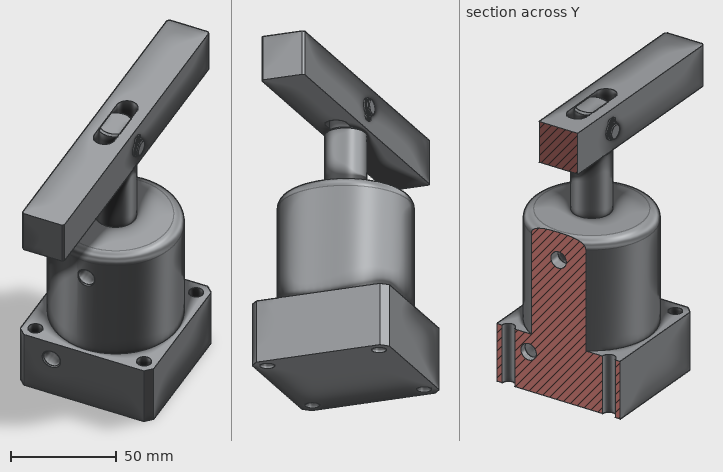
import cadquery as cq

base_width = 70.0
base_height = 31.0
base_corner_chamfer = 3.5
body_diameter = 65.0
body_top = 90.0
body_top_fillet = 5.0
bolt_spacing = 57.0
bolt_hole_diameter = 7.0

port_diameter = 8.5
port_mouth_diameter = 9.7
port_mouth_depth = 0.6
port_depth = 10.0
port_a_height = 75.0
port_b_x = -17.0
port_b_height = 21.0

arm_width = 22.0
arm_length = 160.0
arm_height = 22.0
arm_bottom = 124.0
arm_top = arm_bottom + arm_height
arm_edge_chamfer = 1.0
arm_slot_width = 10.5
arm_slot_length = 35.0

rod_diameter = 20.0
rod_chamfer = 1.0
shoulder_height = 122.5
tongue_diameter = rod_diameter - 2 * rod_chamfer
tongue_start = shoulder_height + rod_chamfer
tongue_width = arm_slot_width
tongue_recess = 0.5
tongue_top = arm_top - tongue_recess
tongue_chamfer = 1.0

pin_diameter = 8.0
pin_length = 27.2
pin_end_chamfer = 0.5
pin_axis_height = (arm_bottom + arm_top) / 2
pin_groove_diameter = 7.6
pin_groove_width = 1.4

clip_thickness = 0.8
clip_outer_diameter = 9.3
clip_lug_width = 5.4
clip_lug_height = 2.8
clip_lug_offset = 5.0
clip_lug_hole_diameter = 1.2
clip_gap = 0.6


def x_cylinder(diameter, length, x_start):
    """Cylinder on the pivot axis, running in +X from x_start."""
    return (
        cq.Workplane("YZ", origin=(x_start, 0, pin_axis_height))
        .circle(diameter / 2)
        .extrude(length)
    )


def port_cutter(x, height, face_y):
    """Drilled port that enters at face_y and runs in +Y, with a tapered mouth."""
    drill_radius = port_diameter / 2
    mouth_radius = port_mouth_diameter / 2
    return (
        cq.Workplane("XY", origin=(x, face_y, height))
        .lineTo(mouth_radius, 0)
        .lineTo(drill_radius, port_mouth_depth)
        .lineTo(drill_radius, port_depth)
        .lineTo(0, port_depth)
        .close()
        .revolve(360, (0, 0, 0), (0, 1, 0))
    )


def make_housing():
    base = (
        cq.Workplane("XY")
        .rect(base_width, base_width)
        .extrude(base_height)
        .edges("|Z")
        .chamfer(base_corner_chamfer)
    )
    body = (
        cq.Workplane("XY")
        .circle(body_diameter / 2)
        .extrude(body_top)
        .faces(">Z")
        .edges()
        .fillet(body_top_fillet)
    )
    bolt_holes = (
        cq.Workplane("XY")
        .rect(bolt_spacing, bolt_spacing, forConstruction=True)
        .vertices()
        .circle(bolt_hole_diameter / 2)
        .extrude(base_height)
    )
    port_a = port_cutter(0, port_a_height, -body_diameter / 2)
    port_b = port_cutter(port_b_x, port_b_height, -base_width / 2)
    return base.union(body).cut(bolt_holes).cut(port_a).cut(port_b)


def make_rod():
    shaft = (
        cq.Workplane("XY", origin=(0, 0, body_top))
        .circle(rod_diameter / 2)
        .extrude(tongue_start - body_top)
        .faces(">Z")
        .chamfer(rod_chamfer)
    )
    tongue_height = tongue_top - tongue_start
    tongue_flats = (
        cq.Workplane("XY", origin=(0, 0, tongue_start))
        .rect(tongue_width, tongue_diameter)
        .extrude(tongue_height)
    )
    tongue = (
        cq.Workplane("XY", origin=(0, 0, tongue_start))
        .circle(tongue_diameter / 2)
        .extrude(tongue_height)
        .faces(">Z")
        .chamfer(tongue_chamfer)
        .intersect(tongue_flats)
    )
    pin_hole = x_cylinder(pin_diameter, arm_width, -arm_width / 2)
    return shaft.union(tongue).cut(pin_hole)


def make_arm():
    bar = (
        cq.Workplane("XY", origin=(0, 0, arm_bottom))
        .rect(arm_width, arm_length)
        .extrude(arm_height)
        .edges("|Z")
        .chamfer(arm_edge_chamfer)
    )
    slot = (
        cq.Workplane("XY", origin=(0, 0, arm_bottom))
        .slot2D(arm_slot_length, arm_slot_width, 90)
        .extrude(arm_height)
    )
    pin_hole = x_cylinder(pin_diameter, arm_width, -arm_width / 2)
    return bar.cut(slot).cut(pin_hole)


def clip_start_x(side):
    """Smallest X of the clip on the given side (-1 or +1) of the arm."""
    return side * (arm_width + clip_thickness) / 2 - clip_thickness / 2


def make_pin():
    pin = x_cylinder(pin_diameter, pin_length, -pin_length / 2)
    pin = pin.faces("<X or >X").chamfer(pin_end_chamfer)
    for side in (-1, 1):
        groove_start = side * (arm_width + pin_groove_width) / 2 - pin_groove_width / 2
        sleeve = x_cylinder(pin_diameter, pin_groove_width, groove_start)
        core = x_cylinder(pin_groove_diameter, pin_groove_width, groove_start)
        pin = pin.cut(sleeve.cut(core))
    return pin


def make_clip(side):
    """Open ring in a pin groove; its lugs point down on the -X side and up on the +X side."""
    start_x = clip_start_x(side)
    lug_plane = cq.Workplane("YZ", origin=(start_x, 0, pin_axis_height + side * clip_lug_offset))
    hole_spacing = clip_lug_width - clip_lug_height
    ring = x_cylinder(clip_outer_diameter, clip_thickness, start_x)
    lugs = lug_plane.slot2D(clip_lug_width, clip_lug_height).extrude(clip_thickness)
    lug_holes = (
        lug_plane.pushPoints([(-hole_spacing / 2, 0), (hole_spacing / 2, 0)])
        .circle(clip_lug_hole_diameter / 2)
        .extrude(clip_thickness)
    )
    gap = lug_plane.rect(clip_gap, 2 * clip_lug_height).extrude(clip_thickness)
    bore = x_cylinder(pin_groove_diameter, clip_thickness, start_x)
    return ring.union(lugs).cut(bore).cut(gap).cut(lug_holes)


housing = make_housing()
rod = make_rod()
arm = make_arm()
pin = make_pin()
clips = [make_clip(side) for side in (-1, 1)]

result = cq.Compound.makeCompound(
    [housing.val(), rod.val(), arm.val(), pin.val(), *[clip.val() for clip in clips]]
)